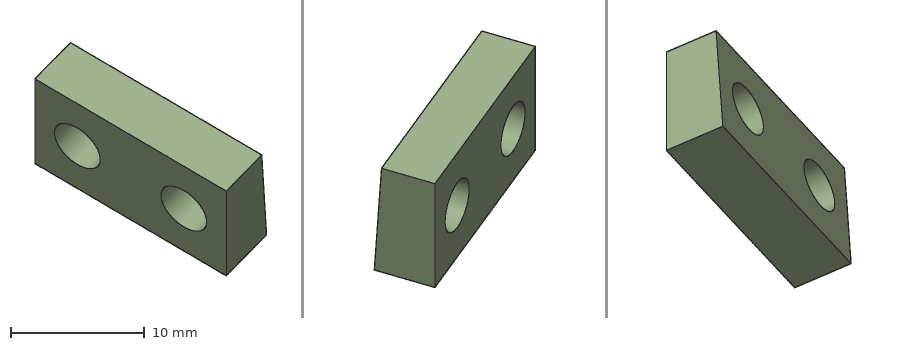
import cadquery as cq

length = 18.0
height = 10.0
base_depth = 5.0
top_depth = 4.41

hole_diameter = 4.3
hole_spacing = 10.0
first_hole_x = 4.0
hole_x_positions = [first_hole_x, first_hole_x + hole_spacing]


def wedge_block():
    """Block with a vertical front face at Y = 0 and a sloping back face."""
    profile = [(0, 0), (base_depth, 0), (top_depth, height), (0, height)]
    return cq.Workplane("YZ").polyline(profile).close().extrude(length)


def hole_cutters():
    """Cylinders along Y that pass through the whole depth."""
    centers = [(x, height / 2) for x in hole_x_positions]
    return (
        cq.Workplane("XZ")
        .pushPoints(centers)
        .circle(hole_diameter / 2)
        .extrude(-base_depth)
    )


result = wedge_block().cut(hole_cutters())